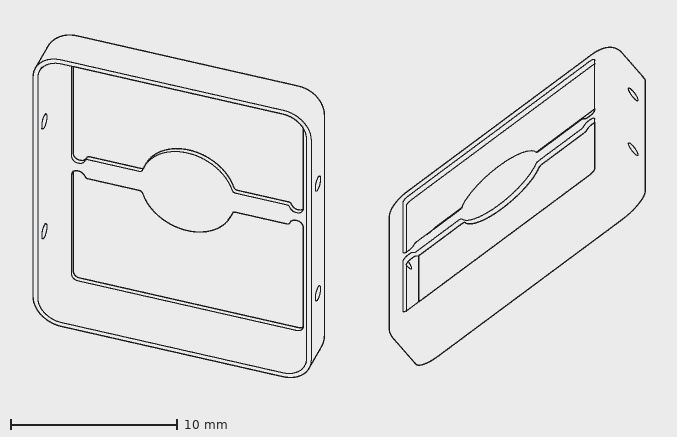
import cadquery as cq
import math

width = 17.8
depth = 3.0
height = 20.6
wall = 0.3
floor = wall
corner_radius = 1.81
rim_radius = 0.8
inner_rim_radius = rim_radius - wall

window_inset = 1.5
window_radius = 0.4
disc_radius = 3.0
arm_half_height = 0.75
neck_half_height = 0.3
neck_flat = 0.06
neck_slope = math.radians(60)
arm_corner_radius = 0.16
disc_blend_radius = 0.2

hole_diameter = 0.93
hole_from_front = 1.17
hole_spacing = 8.49

front_y = -depth / 2
back_y = depth / 2


def rounded_block(size_x, size_z, length, side_radius, back_radius):
    """Block from the front face toward +Y with rounded sides and a rounded back rim."""
    block = cq.Workplane("XZ", origin=(0, front_y, 0)).rect(size_x, size_z).extrude(-length)
    return block.edges("|Y").fillet(side_radius).faces(">Y").edges().fillet(back_radius)


def make_tray():
    outer = rounded_block(width, height, depth, corner_radius, rim_radius)
    cavity = rounded_block(
        width - 2 * wall,
        height - 2 * wall,
        depth - floor,
        corner_radius - wall,
        inner_rim_radius,
    )
    return outer.cut(cavity)


def make_window():
    """Upper window: a rounded rectangle whose lower side follows the neck, arm and disc."""
    half_width = width / 2 - window_inset
    top = height / 2 - window_inset
    neck_end = half_width - neck_flat - window_radius * (1 + math.tan(neck_slope / 2))
    arm_end = neck_end - (arm_half_height - neck_half_height) / math.tan(neck_slope)
    disc_edge = math.sqrt(disc_radius**2 - arm_half_height**2)

    window = (
        cq.Workplane("XZ", origin=(0, back_y, 0))
        .moveTo(-half_width, top)
        .lineTo(-half_width, neck_half_height)
        .lineTo(-neck_end, neck_half_height)
        .lineTo(-arm_end, arm_half_height)
        .lineTo(-disc_edge, arm_half_height)
        .threePointArc((0, disc_radius), (disc_edge, arm_half_height))
        .lineTo(arm_end, arm_half_height)
        .lineTo(neck_end, neck_half_height)
        .lineTo(half_width, neck_half_height)
        .lineTo(half_width, top)
        .close()
        .extrude(depth / 2)
    )

    corner_rounds = [
        (half_width, top, window_radius),
        (half_width, neck_half_height, window_radius),
        (neck_end, neck_half_height, window_radius),
        (arm_end, arm_half_height, arm_corner_radius),
        (disc_edge, arm_half_height, disc_blend_radius),
    ]
    for x, z, radius in corner_rounds:
        for side in (-1, 1):
            edge = window.edges(cq.selectors.NearestToPointSelector((side * x, back_y - depth / 4, z)))
            window = edge.fillet(radius)
    return window


def make_side_holes():
    return (
        cq.Workplane("YZ", origin=(-width / 2, front_y + hole_from_front, 0))
        .pushPoints([(0, -hole_spacing / 2), (0, hole_spacing / 2)])
        .circle(hole_diameter / 2)
        .extrude(width)
    )


upper_window = make_window()
lower_window = upper_window.mirror("XY")
result = make_tray().cut(upper_window).cut(lower_window).cut(make_side_holes())